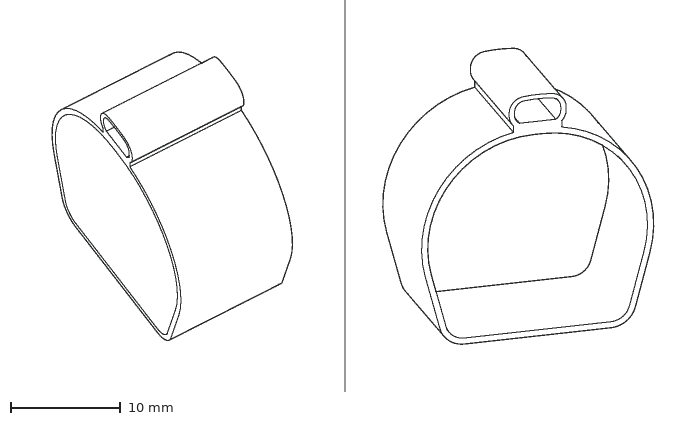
import cadquery as cq
import math

depth = 12.0

band_width = 22.14
band_height = 20.3
band_wall = 0.6
band_crown_radius = 10.6
band_foot_radius = 2.42
side_tilt = math.radians(15.0)

loop_width = 5.44
loop_height = 3.29
loop_wall = 0.52
loop_top_wall = 0.42
loop_corner_radius = 1.5
loop_crown_radius = 13.8
slot_corner_radius = 1.0
floor_height = 0.67

neck_width = 4.6

loop_top = band_height + loop_height
floor_level = band_height + floor_height


def half_width_at(z):
    """Half width, at height z, between the straight sides tangent to the upper arcs."""
    arc_center_x = band_width / 2 - band_crown_radius
    arc_center_z = band_height - band_crown_radius
    tangent_x = arc_center_x + band_crown_radius * math.cos(side_tilt)
    tangent_z = arc_center_z - band_crown_radius * math.sin(side_tilt)
    return tangent_x + (z - tangent_z) * math.tan(side_tilt)


def make_band_body():
    """Solid trapezoid with its upper and lower corners rounded."""
    bottom_half = half_width_at(0)
    top_half = half_width_at(band_height)
    corners = [
        (-bottom_half, 0),
        (bottom_half, 0),
        (top_half, band_height),
        (-top_half, band_height),
    ]
    body = cq.Workplane("XZ").polyline(corners).close().extrude(depth)
    body = body.edges("|Y").edges(">Z").fillet(band_crown_radius)
    return body.edges("|Y").edges("<Z").fillet(band_foot_radius)


def make_crowned_block(width, bottom, top, corner_radius):
    """Block with a gently curved top and four rounded corners."""
    half = width / 2
    crown_drop = loop_crown_radius - math.sqrt(loop_crown_radius**2 - half**2)
    shoulder = top - crown_drop
    block = (
        cq.Workplane("XZ")
        .moveTo(half, shoulder)
        .threePointArc((0, top), (-half, shoulder))
        .lineTo(-half, bottom)
        .lineTo(half, bottom)
        .close()
        .extrude(depth)
    )
    return block.edges("|Y").fillet(corner_radius)


def make_band_opening(body):
    """Through opening that leaves an even wall inside the band."""
    outline = body.faces(">Y").wires().val().offset2D(-band_wall)
    return cq.Workplane("XZ").add(outline).toPending().extrude(depth)


def make_block(width, bottom, top):
    """Full-depth block centred on X between two heights."""
    center_z = (bottom + top) / 2
    return cq.Workplane("XZ").center(0, center_z).rect(width, top - bottom).extrude(depth)


def make_loop_slot():
    """Crowned through slot, cut off flat at the loop floor."""
    width = loop_width - 2 * loop_wall
    bottom = band_height + loop_wall
    slot = make_crowned_block(width, bottom, loop_top - loop_top_wall, slot_corner_radius)
    return slot.intersect(make_block(width, floor_level, loop_top))


band_body = make_band_body()
loop_body = make_crowned_block(loop_width, band_height, loop_top, loop_corner_radius)

neck = make_block(neck_width, band_height - band_crown_radius, floor_level)

solid_body = band_body.union(loop_body).union(neck)
result = solid_body.cut(make_band_opening(band_body)).cut(make_loop_slot())